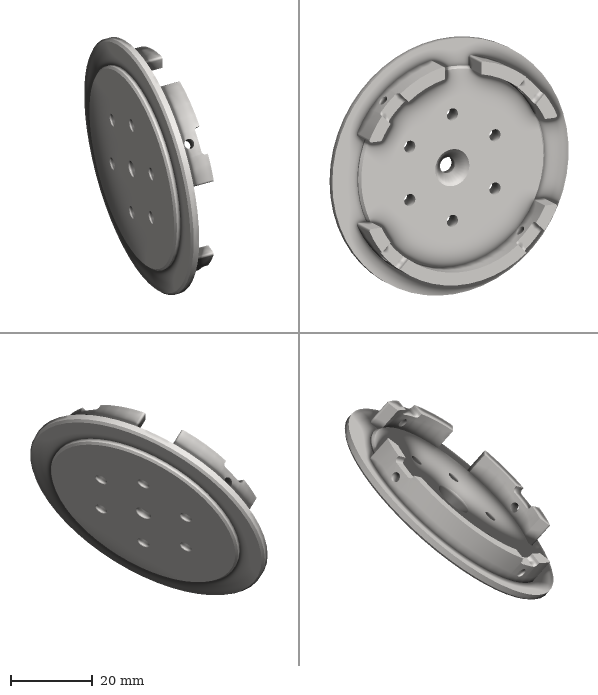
import cadquery as cq
import math

boss_thickness = 1.5
flange_thickness = 2.1
ring_height = 6.9
floor_step = 1.0
flange_back = boss_thickness + flange_thickness
floor_back = flange_back + floor_step
rim = flange_back + ring_height

flange_radius = 32.5
boss_radius = 25.95
ring_outer_radius = 28.3
ring_inner_radius = 25.0
flange_chamfer = 0.6
boss_chamfer = 0.5
step_chamfer = 0.6
step_radius = ring_inner_radius + step_chamfer

side_gap_width = 22.0
top_gap_width = 10.0
gap_edge_fillet = 0.5

notch_width = 7.0
notch_depth = 1.5
notch_fillet = 0.9
radial_hole_diameter = 2.5
radial_hole_from_rim = 3.95
diagonal_angles = [45, 135, 225, 315]

hole_chamfer = 0.1
centre_hole_diameter = 4.0
centre_hole_straight = 1.9
bolt_hole_diameter = 3.05
bolt_circle_radius = 13.5
first_bolt_angle = 90
bolt_count = 6


def disc(radius, start, thickness):
    """Disc about the Y axis, reaching from Y = start towards +Y."""
    plane = cq.Workplane("XZ", origin=(0, start, 0))
    return plane.circle(radius).extrude(-thickness)


def turned(profile):
    """Solid turned about the Y axis from (radius, Y) points."""
    return cq.Workplane("XY").polyline(profile).close().revolve(360, (0, 0, 0), (0, 1, 0))


def make_plate():
    """Flange with the front boss and the raised floor inside the ring."""
    flange = disc(flange_radius, boss_thickness, flange_thickness).faces("<Y").chamfer(flange_chamfer)
    boss = disc(boss_radius, 0, flange_back).faces("<Y").chamfer(boss_chamfer)
    floor = disc(step_radius, boss_thickness, floor_back - boss_thickness)
    floor = floor.faces(">Y").chamfer(step_chamfer)
    return flange.union(boss).union(floor)


def gap_block(width, angle):
    """Block that clears a parallel-sided gap through the ring; angle 0 is +X, 90 is +Z."""
    block = cq.Workplane("XY").box(flange_radius, ring_height, width, centered=(False, False, True))
    return block.translate((0, flange_back, 0)).rotate((0, 0, 0), (0, 1, 0), -angle)


def make_ring():
    """Three ring segments with rounded outer corners at the gaps."""
    ring = disc(ring_outer_radius, flange_back, ring_height)
    for width, angle in ((side_gap_width, 0), (side_gap_width, 180), (top_gap_width, 90)):
        ring = ring.cut(gap_block(width, angle))
    ring = ring.cut(disc(ring_inner_radius, flange_back, ring_height))
    middle_radius = (ring_outer_radius + ring_inner_radius) / 2
    edges = [
        edge for edge in ring.edges("|Y").vals()
        if math.hypot(edge.Center().x, edge.Center().z) > middle_radius
    ]
    return ring.newObject(edges).fillet(gap_edge_fillet)


def notch_cutter(angle):
    """Radial slot in the rim with rounded floor corners."""
    slot = cq.Workplane("XY").box(flange_radius, 2 * notch_depth, notch_width, centered=(False, True, True))
    slot = slot.edges("|X and <Y").fillet(notch_fillet)
    return slot.translate((0, rim, 0)).rotate((0, 0, 0), (0, 1, 0), -angle)


def radial_hole_cutter(angle):
    """Radial drill through one ring wall."""
    plane = cq.Workplane("YZ", origin=(0, rim - radial_hole_from_rim, 0))
    drill = plane.circle(radial_hole_diameter / 2).extrude(flange_radius)
    return drill.rotate((0, 0, 0), (0, 1, 0), -angle)


def axial_hole_cutter(diameter):
    """Through drill along Y with a small chamfer at the front face."""
    radius = diameter / 2
    profile = [
        (0, 0),
        (radius + hole_chamfer, 0),
        (radius, hole_chamfer),
        (radius, floor_back),
        (0, floor_back),
    ]
    return turned(profile)


def countersink_cutter():
    """Cone that widens at 45 degrees from the straight centre hole to the floor behind the plate."""
    radius = centre_hole_diameter / 2
    depth = floor_back - centre_hole_straight
    profile = [
        (0, centre_hole_straight),
        (radius, centre_hole_straight),
        (radius + depth, floor_back),
        (0, floor_back),
    ]
    return turned(profile)


ring = make_ring()
for angle in diagonal_angles:
    ring = ring.cut(notch_cutter(angle)).cut(radial_hole_cutter(angle))

result = make_plate().union(ring)
result = result.cut(axial_hole_cutter(centre_hole_diameter)).cut(countersink_cutter())
for index in range(bolt_count):
    angle = math.radians(first_bolt_angle + index * 360 / bolt_count)
    x = bolt_circle_radius * math.cos(angle)
    z = bolt_circle_radius * math.sin(angle)
    result = result.cut(axial_hole_cutter(bolt_hole_diameter).translate((x, 0, z)))